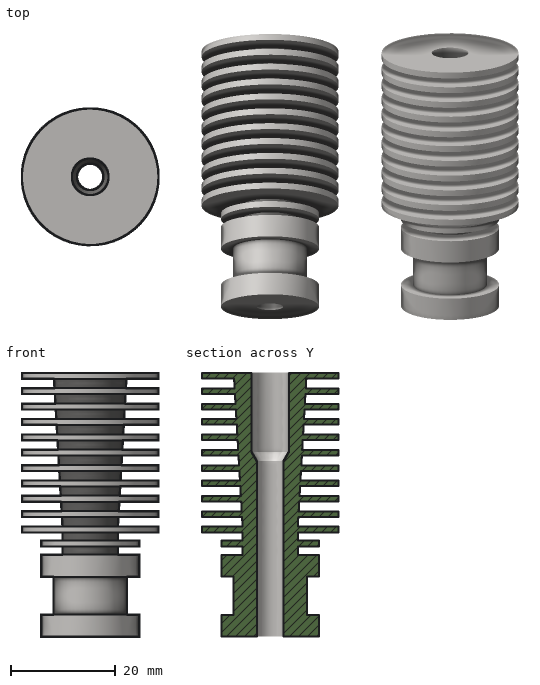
import cadquery as cq

total_height = 50.5

collar_diameter = 18.8
collar_height = 4.25
groove_diameter = 14.15
groove_height = 7.2

neck_diameter = 10.65
core_top_diameter = 14.05

fin_thickness = 1.15
small_fin_bottom = 17.3
large_fin_diameter = 26.2
large_fin_count = 11
lowest_large_fin_bottom = 19.95

bore_diameter = 5.0
entry_diameter = 7.0
entry_depth = 15.15
seat_height = 1.75

upper_collar_bottom = collar_height + groove_height
neck_bottom = upper_collar_bottom + collar_height
taper_bottom = lowest_large_fin_bottom + fin_thickness
fin_pitch = (total_height - taper_bottom) / (large_fin_count - 1)


def cylinder(diameter, bottom, height):
    """Solid cylinder on the Z axis."""
    return cq.Workplane("XY").workplane(offset=bottom).circle(diameter / 2).extrude(height)


def cone(bottom_diameter, top_diameter, bottom, top):
    """Solid truncated cone on the Z axis."""
    profile = [
        (0, bottom),
        (bottom_diameter / 2, bottom),
        (top_diameter / 2, top),
        (0, top),
    ]
    return cq.Workplane("XZ").polyline(profile).close().revolve(360, (0, 0, 0), (0, 1, 0))


body = cylinder(collar_diameter, 0, collar_height)
body = body.union(cylinder(groove_diameter, collar_height, groove_height))
body = body.union(cylinder(collar_diameter, upper_collar_bottom, collar_height))

body = body.union(cylinder(neck_diameter, neck_bottom, taper_bottom - neck_bottom))
body = body.union(cone(neck_diameter, core_top_diameter, taper_bottom, total_height))

body = body.union(cylinder(collar_diameter, small_fin_bottom, fin_thickness))
for index in range(large_fin_count):
    fin_bottom = lowest_large_fin_bottom + index * fin_pitch
    body = body.union(cylinder(large_fin_diameter, fin_bottom, fin_thickness))

entry_bottom = total_height - entry_depth
seat = cone(bore_diameter, entry_diameter, entry_bottom - seat_height, entry_bottom)
body = body.cut(cylinder(bore_diameter, 0, total_height))
body = body.cut(seat)
result = body.cut(cylinder(entry_diameter, entry_bottom, entry_depth))